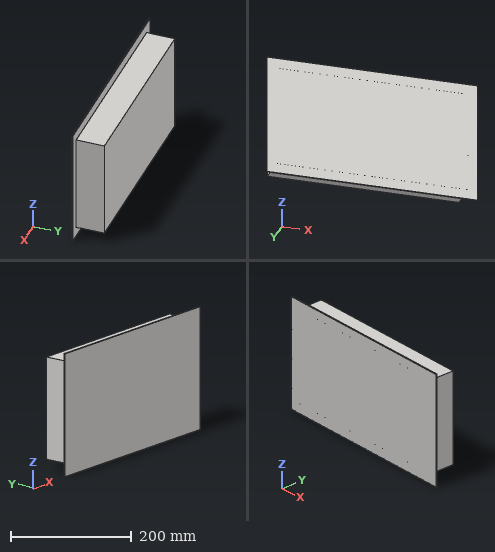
import cadquery as cq

plate_width = 364.0
plate_height = 212.0
plate_thickness = 2.2

total_depth = 52.0
box_width = 332.0
box_height = 176.0
box_depth = total_depth - plate_thickness


def block(width, depth, height, front_y):
    """Block centred on X and Z, extending toward +Y from front_y."""
    centred = (True, False, True)
    return cq.Workplane("XY").box(width, depth, height, centered=centred).translate((0, front_y, 0))


plate = block(plate_width, plate_thickness, plate_height, 0)
box = block(box_width, box_depth, box_height, plate_thickness)

result = plate.union(box)